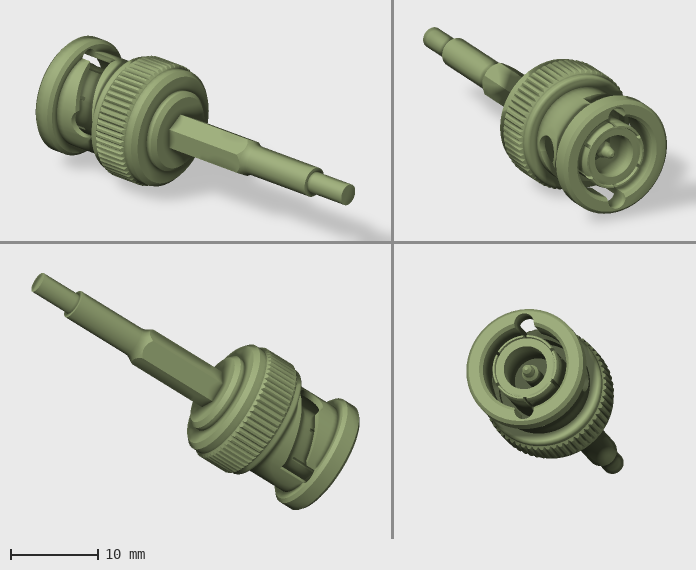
import cadquery as cq
import math


CUT_MARGIN = 0.4

FLANGE_RADIUS = 6.9
FLANGE_LENGTH = 2.42
FLANGE_CHAMFER = 0.39
SLEEVE_RADIUS = 11.3 / 2
COLLAR_START = 8.43
COLLAR_END = 15.05
COLLAR_ROUND_LENGTH = 0.35
COLLAR_ROUND_DROP = 0.35
COLLAR_REAR_CHAMFER = 0.55

KNURL_RADIUS = 7.255
KNURL_START = 9.3
KNURL_END = 13.55
KNURL_CHAMFER = KNURL_RADIUS - FLANGE_RADIUS
TOOTH_COUNT = 60
GROOVE_WIDTH = 0.5
GROOVE_DEPTH = 0.3

BORE_RADIUS = 4.95
BORE_DEPTH = COLLAR_START
MOUTH_RADIUS = 5.3
MOUTH_DEPTH = 0.35

SLOT_COUNT = 2
KEYWAY_RADIUS = 1.15
KEYWAY_OFFSET = 5.15
KEYWAY_LENGTH = 5.75
RAMP_WIDTH = 2.42
RAMP_RISE = 2.1
RAMP_TURN = 90.0
DETENT_RADIUS = 1.625
DETENT_POSITION = KEYWAY_LENGTH + RAMP_RISE - DETENT_RADIUS

BARREL_RADIUS = 3.82
CORE_RADIUS = 3.5
CORE_FRONT = 0.65
FINGER_FRONT = 0.33
FINGER_FACE_INNER_RADIUS = 3.58
FINGER_FACE_OUTER_RADIUS = 3.8
FINGER_BULGE_RADIUS = 7.85 / 2
FINGER_BULGE_PEAK = 0.9
FINGER_BULGE_END = 1.65
FINGER_SLIT_COUNT = 6
FINGER_SLIT_WIDTH = 0.4
FINGER_SLIT_END = 4.7
SOCKET_RADIUS = 5.1 / 2
SOCKET_END = 5.75
PIN_FRONT = 1.0
PIN_TIP_RADIUS = 0.2
PIN_TIP_LENGTH = 0.35
PIN_NOSE_RADIUS = 0.55
PIN_NOSE_END = 2.05
PIN_RADIUS = 1.35 / 2
PIN_CONE_START = 2.45
PIN_CONE_END = 2.88
PIN_BASE_RADIUS = 1.95 / 2

BACK_RING_RADIUS = 9.5 / 2
BACK_RING_END = 16.15
BACK_RING_CHAMFER = 0.5

HEX_FLATS = 4.03
HEX_CORNER_RADIUS = HEX_FLATS / 2 / math.cos(math.pi / 6)
HEX_CONE_START = 26.15
HEX_CONE_END = 26.655
HEX_CONE_END_RADIUS = 1.995
HEX_END = 27.5
FERRULE_RADIUS = 3.5 / 2
FERRULE_END = 36.05
CABLE_RADIUS = 2.5 / 2
TOTAL_LENGTH = 41.1


def turned(outline):
    """Revolve a closed outline, drawn with radius along Y, around the X axis."""
    return outline.close().revolve(360, (0, 0, 0), (1, 0, 0))


def rod(start, end, radius):
    """Cylinder along X."""
    return cq.Workplane("YZ", origin=(start, 0, 0)).circle(radius).extrude(end - start)


def around_x(shape, angle):
    return shape.rotate((0, 0, 0), (1, 0, 0), angle)


def nut_blank():
    rim_radius = FLANGE_RADIUS - FLANGE_CHAMFER
    round_radius = (COLLAR_ROUND_LENGTH**2 + COLLAR_ROUND_DROP**2) / (2 * COLLAR_ROUND_DROP)
    outline = (
        cq.Workplane("XY")
        .moveTo(0, MOUTH_RADIUS)
        .lineTo(0, rim_radius)
        .lineTo(FLANGE_CHAMFER, FLANGE_RADIUS)
        .lineTo(FLANGE_LENGTH - FLANGE_CHAMFER, FLANGE_RADIUS)
        .lineTo(FLANGE_LENGTH, rim_radius)
        .lineTo(FLANGE_LENGTH, SLEEVE_RADIUS)
        .lineTo(COLLAR_START, SLEEVE_RADIUS)
        .lineTo(COLLAR_START, FLANGE_RADIUS - COLLAR_ROUND_DROP)
        .radiusArc((COLLAR_START + COLLAR_ROUND_LENGTH, FLANGE_RADIUS), round_radius)
        .lineTo(KNURL_START, FLANGE_RADIUS)
        .lineTo(KNURL_START + KNURL_CHAMFER, KNURL_RADIUS)
        .lineTo(KNURL_END - KNURL_CHAMFER, KNURL_RADIUS)
        .lineTo(KNURL_END, FLANGE_RADIUS)
        .lineTo(COLLAR_END - COLLAR_REAR_CHAMFER, FLANGE_RADIUS)
        .lineTo(COLLAR_END, FLANGE_RADIUS - COLLAR_REAR_CHAMFER)
        .lineTo(COLLAR_END, BARREL_RADIUS)
        .lineTo(BORE_DEPTH, BARREL_RADIUS)
        .lineTo(BORE_DEPTH, BORE_RADIUS)
        .lineTo(MOUTH_DEPTH, BORE_RADIUS)
    )
    return turned(outline)


def knurl_grooves():
    """V grooves along X, the first one at the top, a little shallower than the band is high."""
    groove = (
        cq.Workplane("YZ", origin=(KNURL_START, 0, 0))
        .polyline([
            (0, KNURL_RADIUS - GROOVE_DEPTH),
            (GROOVE_WIDTH / 2, KNURL_RADIUS),
            (-GROOVE_WIDTH / 2, KNURL_RADIUS),
        ])
        .close()
        .extrude(KNURL_END - KNURL_START)
    )
    step = 360 / TOOTH_COUNT
    return cq.Compound.makeCompound([around_x(groove, i * step).val() for i in range(TOOTH_COUNT)])


def bayonet_ramp():
    """Helical slot with radial walls, from the top of the sleeve round to its -Y side."""
    pitch = RAMP_RISE * 360 / RAMP_TURN
    helix = cq.Wire.makeHelix(pitch, RAMP_RISE, SLEEVE_RADIUS)
    inner = BORE_RADIUS - CUT_MARGIN
    outer = SLEEVE_RADIUS + CUT_MARGIN
    ramp = (
        cq.Workplane("XZ")
        .polyline([(inner, -RAMP_WIDTH), (outer, -RAMP_WIDTH), (outer, 0), (inner, 0)])
        .close()
        .sweep(cq.Workplane(helix), isFrenet=True)
    )
    ramp = around_x(ramp.rotate((0, 0, 0), (0, 1, 0), 90), 180)
    return ramp.translate((KEYWAY_LENGTH, 0, 0))


def bayonet_slot():
    keyway = (
        cq.Workplane("YZ")
        .moveTo(-KEYWAY_RADIUS, CORE_RADIUS)
        .lineTo(-KEYWAY_RADIUS, KEYWAY_OFFSET)
        .threePointArc((0, KEYWAY_OFFSET + KEYWAY_RADIUS), (KEYWAY_RADIUS, KEYWAY_OFFSET))
        .lineTo(KEYWAY_RADIUS, CORE_RADIUS)
        .close()
        .extrude(KEYWAY_LENGTH)
    )
    detent = (
        cq.Workplane("XZ", origin=(DETENT_POSITION, 0, 0))
        .circle(DETENT_RADIUS)
        .extrude(FLANGE_RADIUS)
    )
    return keyway, bayonet_ramp(), detent


def coupling_nut():
    nut = nut_blank().cut(cq.Workplane(knurl_grooves()))
    for i in range(SLOT_COUNT):
        for cutter in bayonet_slot():
            nut = nut.cut(around_x(cutter, i * 360 / SLOT_COUNT))
    return nut


def plug_barrel():
    """Barrel with a socket, and a thin layer of spring fingers round its front."""
    outline = (
        cq.Workplane("XY")
        .moveTo(CORE_FRONT, SOCKET_RADIUS)
        .lineTo(CORE_FRONT, CORE_RADIUS)
        .lineTo(FINGER_FRONT, FINGER_FACE_INNER_RADIUS)
        .lineTo(FINGER_FRONT, FINGER_FACE_OUTER_RADIUS)
        .threePointArc((FINGER_BULGE_PEAK, FINGER_BULGE_RADIUS), (FINGER_BULGE_END, BARREL_RADIUS))
        .lineTo(COLLAR_END, BARREL_RADIUS)
        .lineTo(COLLAR_END, 0)
        .lineTo(SOCKET_END, 0)
        .lineTo(SOCKET_END, SOCKET_RADIUS)
    )
    barrel = turned(outline)
    slit = (
        cq.Workplane("XY")
        .box(FINGER_SLIT_END, FINGER_SLIT_WIDTH, FINGER_BULGE_RADIUS + CUT_MARGIN, centered=(False, True, False))
        .cut(rod(0, FINGER_SLIT_END, CORE_RADIUS))
    )
    for i in range(FINGER_SLIT_COUNT):
        barrel = barrel.cut(around_x(slit, i * 360 / FINGER_SLIT_COUNT))
    return barrel


def centre_pin():
    outline = cq.Workplane("XY").polyline([
        (PIN_FRONT, 0),
        (PIN_FRONT, PIN_TIP_RADIUS),
        (PIN_FRONT + PIN_TIP_LENGTH, PIN_NOSE_RADIUS),
        (PIN_NOSE_END, PIN_RADIUS),
        (PIN_CONE_START, PIN_RADIUS),
        (PIN_CONE_END, PIN_BASE_RADIUS),
        (SOCKET_END, PIN_BASE_RADIUS),
        (SOCKET_END, 0),
    ])
    return turned(outline)


def back_ring():
    return rod(COLLAR_END, BACK_RING_END, BACK_RING_RADIUS).faces(">X").chamfer(BACK_RING_CHAMFER)


def hex_shank():
    """Hexagon with corners up and down; a cone and a concave arc blend its rear into the ferrule."""
    prism = (
        cq.Workplane("YZ", origin=(BACK_RING_END, 0, 0))
        .transformed(rotate=(0, 0, 90))
        .polygon(6, 2 * HEX_CORNER_RADIUS)
        .extrude(HEX_END - BACK_RING_END)
    )
    blend_drop = HEX_CONE_END_RADIUS - FERRULE_RADIUS
    blend_length = HEX_END - HEX_CONE_END
    blend_radius = (blend_length**2 + blend_drop**2) / (2 * blend_drop)
    outline = (
        cq.Workplane("XY")
        .moveTo(BACK_RING_END, 0)
        .lineTo(BACK_RING_END, HEX_CORNER_RADIUS)
        .lineTo(HEX_CONE_START, HEX_CORNER_RADIUS)
        .lineTo(HEX_CONE_END, HEX_CONE_END_RADIUS)
        .radiusArc((HEX_END, FERRULE_RADIUS), -blend_radius)
        .lineTo(HEX_END, 0)
    )
    return prism.intersect(turned(outline))


def connector_body():
    body = plug_barrel().union(centre_pin()).union(back_ring()).union(hex_shank())
    body = body.union(rod(HEX_END, FERRULE_END, FERRULE_RADIUS))
    return body.union(rod(FERRULE_END, TOTAL_LENGTH, CABLE_RADIUS))


nut = coupling_nut()
body = connector_body()
result = cq.Compound.makeCompound([nut.val(), body.val()])